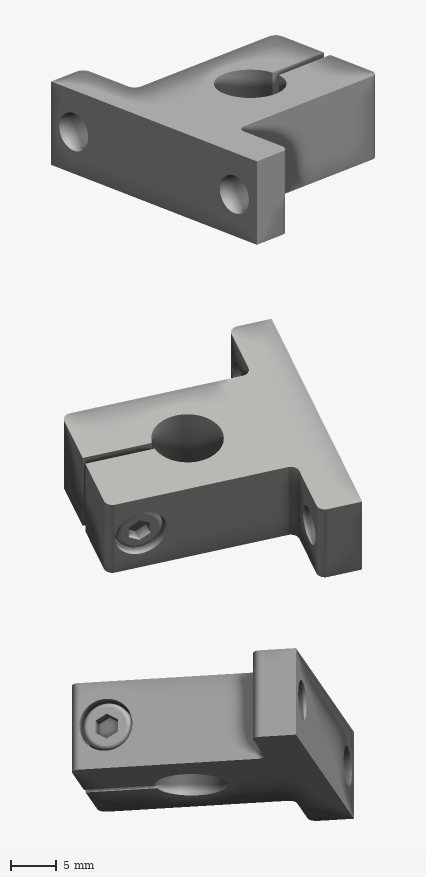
import cadquery as cq
import math

length = 32.0
depth = 27.0
height = 10.0
base_depth = 5.0
stem_width = length / 2
corner_radius = 1.0

bore_diameter = 8.0
bore_y = 15.0
slot_width = 1.0

mount_diameter = 4.5
mount_spacing = 25.0

screw_y = 23.0
shank_diameter = 3.0
head_diameter = 5.5
head_height = 3.0
head_rounding = 0.58
head_recess = 0.5
counterbore_diameter = 6.0
hex_flats = 2.5
hex_depth = 1.5

stem_side = -stem_width / 2
mid_z = height / 2
head_top_x = stem_side + head_recess
head_seat_x = head_top_x + head_height


def make_block():
    """T-shaped block with rounded corners; the mounting face stays sharp."""
    base = cq.Workplane("XY").box(length, base_depth, height, centered=(True, False, False))
    stem = cq.Workplane("XY").box(stem_width, depth, height, centered=(True, False, False))
    block = base.union(stem)
    return block.edges("|Z").edges("not <Y").fillet(corner_radius)


def cut_bore_and_slot(block):
    """Vertical shaft bore, split open to the end of the stem."""
    bore = cq.Workplane("XY").center(0, bore_y).circle(bore_diameter / 2).extrude(height)
    slot = cq.Workplane("XY").center(0, bore_y).box(
        slot_width, depth - bore_y, height, centered=(True, False, False)
    )
    return block.cut(bore).cut(slot)


def cut_mounting_holes(block):
    """Through holes in the two feet of the base."""
    holes = (
        cq.Workplane("XZ")
        .pushPoints([(side * mount_spacing / 2, mid_z) for side in (-1, 1)])
        .circle(mount_diameter / 2)
        .extrude(-base_depth)
    )
    return block.cut(holes)


def screw_plane(x):
    """Workplane across the screw axis at the given X, facing +X."""
    return cq.Workplane("YZ", origin=(x, screw_y, mid_z))


def add_screw(block):
    """Socket-head screw sunk in a counterbore, its shank bridging the slot."""
    counterbore = screw_plane(stem_side).circle(counterbore_diameter / 2).extrude(head_recess + head_height)
    head = (
        screw_plane(head_top_x)
        .circle(head_diameter / 2)
        .extrude(head_height)
        .faces("<X")
        .edges()
        .fillet(head_rounding)
    )
    hex_corners = hex_flats / math.cos(math.pi / 6)
    socket = (
        screw_plane(head_top_x)
        .transformed(rotate=(0, 0, 90))
        .polygon(6, hex_corners)
        .extrude(hex_depth)
    )
    shank = screw_plane(head_seat_x).circle(shank_diameter / 2).extrude(slot_width - head_seat_x)
    return block.cut(counterbore).union(head.cut(socket)).union(shank)


result = add_screw(cut_mounting_holes(cut_bore_and_slot(make_block())))